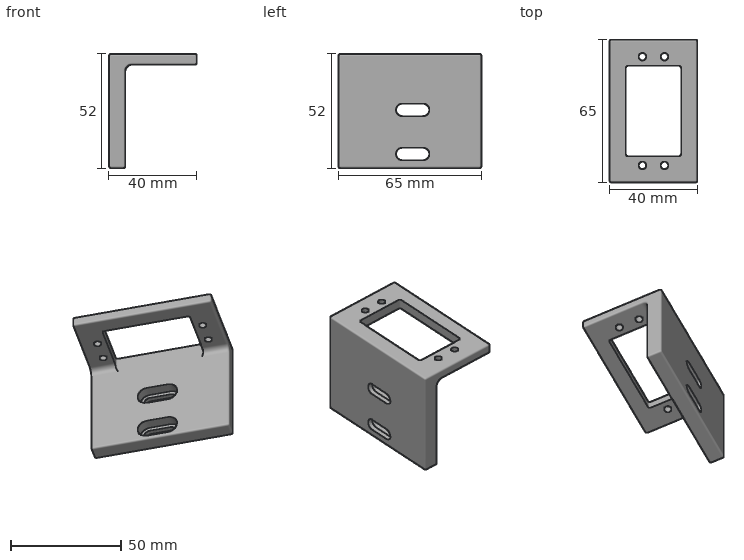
import cadquery as cq

DEPTH = 40.0
WIDTH = 65.0
HEIGHT = 52.0

WALL_THICKNESS = 7.5
TOP_THICKNESS = 5.0
INNER_RADIUS = 3.0
EDGE_RADIUS = 1.0

WINDOW_DEPTH = DEPTH - 2 * WALL_THICKNESS
WINDOW_WIDTH = 41.0
WINDOW_CORNER_RADIUS = 1.0

HOLE_DIAMETER = 3.3
HOLE_SPACING_X = 10.0
HOLE_SPACING_Y = 49.4

SLOT_LENGTH = 15.0
SLOT_HEIGHT = 5.5
SLOT_CENTER_Y = -1.25
LOWER_SLOT_Z = 6.5
SLOT_SPACING = 20.0

RECESS_MARGIN = 1.75
RECESS_FLOOR_X = 2.5


def bracket_body():
    """Wall and top plate, joined by a rounded inner corner, with all edges rounded."""
    body = (
        cq.Workplane("XZ")
        .polyline([
            (0, 0),
            (WALL_THICKNESS, 0),
            (WALL_THICKNESS, HEIGHT - TOP_THICKNESS),
            (DEPTH, HEIGHT - TOP_THICKNESS),
            (DEPTH, HEIGHT),
            (0, HEIGHT),
        ])
        .close()
        .extrude(WIDTH / 2, both=True)
    )
    inner_corner = cq.selectors.NearestToPointSelector((WALL_THICKNESS, 0, HEIGHT - TOP_THICKNESS))
    body = body.edges("|Y").edges(inner_corner).fillet(INNER_RADIUS)
    outer_edges = body.faces("<Y or >Y or <X or >X or <Z or >Z").edges()
    return outer_edges.fillet(EDGE_RADIUS)


def window_cutter():
    """Window flush with the wall, cut through the top plate and the inner corner rounding."""
    cut_depth = TOP_THICKNESS + INNER_RADIUS
    return (
        cq.Workplane("XY", origin=(DEPTH / 2, 0, HEIGHT - cut_depth))
        .rect(WINDOW_DEPTH, WINDOW_WIDTH)
        .extrude(cut_depth)
        .edges("|Z")
        .fillet(WINDOW_CORNER_RADIUS)
    )


def hole_cutter():
    """Four screw holes through the top plate, two at each end of the window."""
    return (
        cq.Workplane("XY", origin=(DEPTH / 2, 0, HEIGHT - TOP_THICKNESS))
        .rarray(HOLE_SPACING_X, HOLE_SPACING_Y, 2, 2)
        .circle(HOLE_DIAMETER / 2)
        .extrude(TOP_THICKNESS)
    )


def slot_cutter(margin, start_x):
    """Two round-ended slots, enlarged by margin all round, from start_x to the inner wall face."""
    return (
        cq.Workplane("YZ", origin=(start_x, 0, 0))
        .pushPoints([(SLOT_CENTER_Y, LOWER_SLOT_Z + i * SLOT_SPACING) for i in range(2)])
        .slot2D(SLOT_LENGTH + 2 * margin, SLOT_HEIGHT + 2 * margin)
        .extrude(WALL_THICKNESS - start_x)
    )


through_slots = slot_cutter(0, 0)
slot_recesses = slot_cutter(RECESS_MARGIN, RECESS_FLOOR_X)

result = (
    bracket_body()
    .cut(window_cutter())
    .cut(hole_cutter())
    .cut(through_slots)
    .cut(slot_recesses)
)